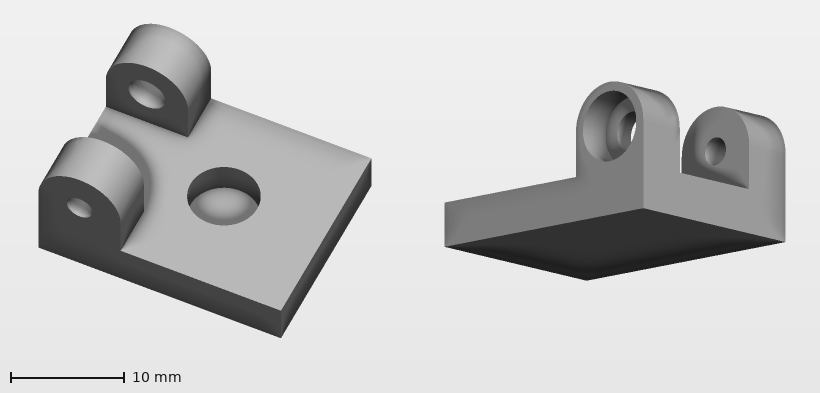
import cadquery as cq

length = 23.6
width = 18.7
base_thickness = 4.0

height = 12.0
lug_length = 8.0
lug_thickness = 4.8
lug_radius = lug_length / 2
pivot_x = lug_radius
pivot_z = height - lug_radius

front_hole_diameter = 2.5
back_hole_diameter = 3.6
back_counterbore_diameter = 6.32
back_hole_depth = 1.8

pocket_diameter = 6.5
pocket_depth = 3.0
pocket_x = 13.65


def make_lug(front_y):
    """Upright lug with a half-round top, starting at front_y."""
    return (
        cq.Workplane("XZ", origin=(0, front_y, 0))
        .lineTo(lug_length, 0)
        .lineTo(lug_length, pivot_z)
        .threePointArc((pivot_x, height), (0, pivot_z))
        .close()
        .extrude(-lug_thickness)
    )


def pivot_cylinder(diameter, start_y, end_y):
    """Cylinder on the pivot axis between two positions along Y."""
    return (
        cq.Workplane("XZ", origin=(pivot_x, start_y, pivot_z))
        .circle(diameter / 2)
        .extrude(start_y - end_y)
    )


back_lug_y = width - lug_thickness

body = cq.Workplane("XY").box(length, width, base_thickness, centered=False)
for lug_y in (0, back_lug_y):
    body = body.union(make_lug(lug_y))

body = body.cut(pivot_cylinder(front_hole_diameter, 0, lug_thickness))
body = body.cut(pivot_cylinder(back_hole_diameter, back_lug_y, width))
body = body.cut(pivot_cylinder(back_counterbore_diameter, back_lug_y + back_hole_depth, width))

pocket = (
    cq.Workplane("XY", origin=(pocket_x, width / 2, base_thickness))
    .circle(pocket_diameter / 2)
    .extrude(-pocket_depth)
)
result = body.cut(pocket)